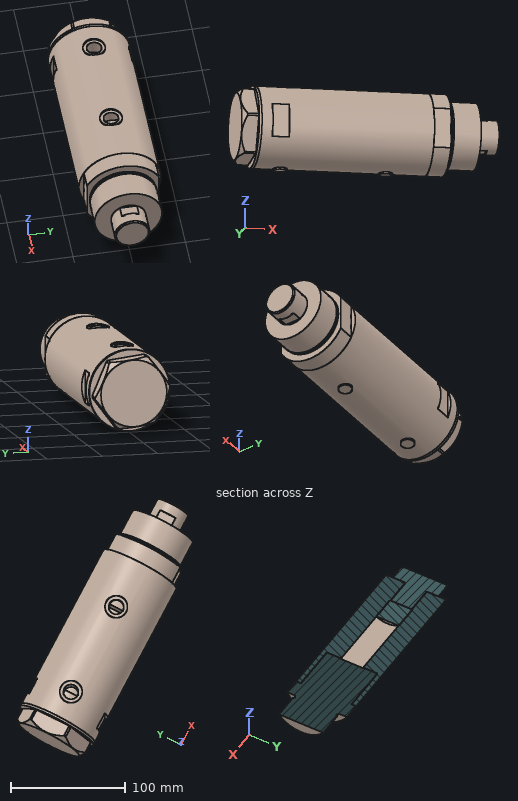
import cadquery as cq
import math


hex_end = 14.3
housing_start = 16.7
piston_start = 42.5
piston_end = 65.7
gland_start = 126.6
housing_end = 171.2
flange_end = 187.0
collar_start = 190.2
collar_end = 214.4
rod_end = 234.5

body_radius = 73.0 / 2
bore_radius = 22.5
gland_radius = 32.1
collar_radius = 30.0
rod_radius = 15.5

hex_across_flats = 60.0
hex_corner_radius = 68.2 / 2
hex_face_radius = 29.8
hex_turn = 7.0

port_positions = [41.3, gland_start]
port_radius = 6.5
spotface_radius = 9.8
spotface_height = 35.0

boss_positions = [40.3, 134.8]
boss_radius = 12.5 / 2
overall_height = 74.0
boss_bottom = body_radius - overall_height

housing_flat_start = 26.5
housing_flat_end = 41.5
housing_flats_width = 66.8
flange_flats_width = 64.0
rod_flat_end = 224.2
rod_flats_width = 27.0

neck_radius = 29.5
neck_end = 187.9
groove_radius = 28.8
neck_chamfer = neck_radius - groove_radius
collar_chamfer = collar_radius - groove_radius

rod_chamfer = 1.2


def cylinder(start, end, radius):
    """Solid cylinder on the X axis between two stations."""
    return cq.Workplane("YZ", origin=(start, 0, 0)).circle(radius).extrude(end - start)


def outside_flats(start, end, width, across):
    """Material of a body lying outside two parallel flats; `across` is the axis normal to them."""
    size = 2 * overall_height
    block = cq.Workplane("XY").box(end - start, size, size)
    if across == "Y":
        kept = cq.Workplane("XY").box(end - start, width, size)
    else:
        kept = cq.Workplane("XY").box(end - start, size, width)
    return block.cut(kept).translate(((start + end) / 2, 0, 0))


def make_plug():
    """Hexagon head with turned corners and face chamfer, round flange, and shank in the bore."""
    hex_diameter = hex_across_flats / math.cos(math.pi / 6)
    head = (
        cq.Workplane("YZ")
        .polygon(6, hex_diameter)
        .extrude(hex_end)
        .rotate((0, 0, 0), (1, 0, 0), -hex_turn)
    )
    chamfer = hex_corner_radius - hex_face_radius
    turned = cylinder(0, hex_end, hex_corner_radius).faces("<X").chamfer(chamfer)
    flange = cylinder(hex_end, housing_start, body_radius)
    shank = cylinder(housing_start, piston_start, bore_radius)
    return head.intersect(turned).union(flange).union(shank)


def make_housing():
    """Tube with two bosses below, two spotfaced ports above and a pair of wrench flats."""
    housing = cylinder(housing_start, housing_end, body_radius)
    for x in boss_positions:
        boss = cq.Workplane("XY", origin=(x, 0, boss_bottom)).circle(boss_radius).extrude(-boss_bottom)
        housing = housing.union(boss)
    housing = housing.cut(cylinder(housing_start, gland_start, bore_radius))
    housing = housing.cut(cylinder(gland_start, housing_end, gland_radius))
    for x in port_positions:
        port = cq.Workplane("XY", origin=(x, 0, 0)).circle(port_radius).extrude(body_radius)
        spotface = (
            cq.Workplane("XY", origin=(x, 0, spotface_height))
            .circle(spotface_radius)
            .extrude(body_radius - spotface_height)
        )
        housing = housing.cut(port).cut(spotface)
    return housing.cut(outside_flats(housing_flat_start, housing_flat_end, housing_flats_width, "Y"))


def make_gland():
    """Barrel inside the housing, flange with wrench flats, neck, relief groove and mounting collar."""
    flange = cylinder(housing_end, flange_end, body_radius)
    flange = flange.cut(outside_flats(housing_end, flange_end, flange_flats_width, "Y"))
    neck_and_collar = (
        cq.Workplane("XY")
        .moveTo(flange_end, 0)
        .lineTo(flange_end, neck_radius)
        .lineTo(neck_end, neck_radius)
        .lineTo(neck_end + neck_chamfer, groove_radius)
        .lineTo(collar_start - collar_chamfer, groove_radius)
        .lineTo(collar_start, collar_radius)
        .lineTo(collar_end, collar_radius)
        .lineTo(collar_end, 0)
        .close()
        .revolve(360, (0, 0, 0), (1, 0, 0))
    )
    barrel = cylinder(gland_start, housing_end, gland_radius)
    rod_hole = cylinder(gland_start, collar_end, rod_radius)
    return barrel.union(flange).union(neck_and_collar).cut(rod_hole)


def make_rod():
    """Piston and rod in one piece, with two flats beside the collar and a chamfered tip."""
    rod = cylinder(piston_end, rod_end, rod_radius).faces(">X").chamfer(rod_chamfer)
    rod = rod.cut(outside_flats(collar_end, rod_flat_end, rod_flats_width, "Z"))
    return rod.union(cylinder(piston_start, piston_end, bore_radius))


plug = make_plug()
housing = make_housing()
gland = make_gland()
rod = make_rod()

result = cq.Compound.makeCompound([plug.val(), housing.val(), gland.val(), rod.val()])